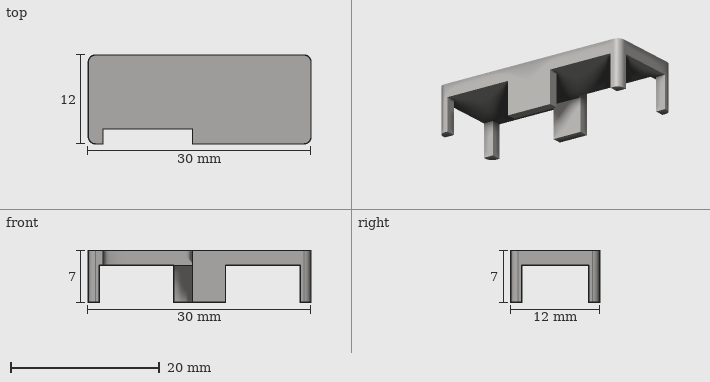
import cadquery as cq

length = 30.0
width = 12.0
height = 7.0
corner_radius = 1.0

top_thickness = 2.0
leg_thickness = 1.5
middle_leg_length = 7.0

notch_start = 2.0
notch_length = 12.0
notch_depth = 2.0

leg_height = height - top_thickness


def block(x, y, z, size_x, size_y, size_z):
    """Box with its minimum corner at (x, y, z)."""
    return cq.Workplane("XY").box(size_x, size_y, size_z, centered=False).translate((x, y, z))


def rounded_body():
    """Full envelope with rounded vertical corners."""
    return block(0, 0, 0, length, width, height).edges("|Z").fillet(corner_radius)


def leg_gaps():
    """Empty space below the table top, leaving four corner legs and two middle legs."""
    inner_length = length - 2 * leg_thickness
    inner_width = width - 2 * leg_thickness
    side_gap_length = (inner_length - middle_leg_length) / 2
    gaps = block(0, leg_thickness, 0, length, inner_width, leg_height)
    for gap_start in (leg_thickness, length - leg_thickness - side_gap_length):
        gaps = gaps.union(block(gap_start, 0, 0, side_gap_length, width, leg_height))
    return gaps


def edge_notch():
    """Rectangular notch over the full height."""
    return block(notch_start, 0, 0, notch_length, notch_depth, height)


result = rounded_body().cut(leg_gaps()).cut(edge_notch())